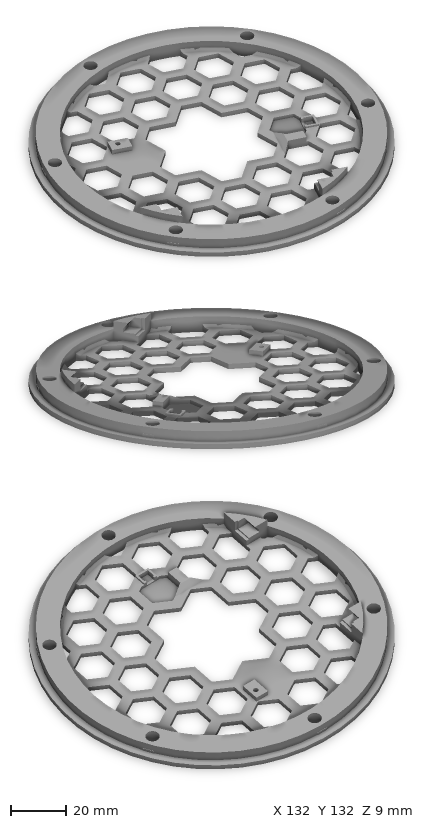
import cadquery as cq
import math

FLANGE_RADIUS = 66.0
RIM_RADIUS = 63.4
OPENING_RADIUS = 54.6
FLANGE_HEIGHT = 2.0
RIM_HEIGHT = 6.0

SCREW_COUNT = 6
SCREW_CIRCLE_RADIUS = 59.1
SCREW_DIAMETER = 5.1
SCREW_START_ANGLE = 29.5
PAD_FACE_DISTANCE = 63.5
PAD_DEPTH = 1.3
PAD_WIDTH = 4.4
PAD_HEIGHT = 1.2

WEB_HEIGHT = 2.0
WEB_CHAMFER = 1.0
CELL_PITCH = 17.0
CELL_WALL = 4.0
CELL_FLATS = CELL_PITCH - CELL_WALL
CELL_CIRCUMRADIUS = CELL_FLATS / math.sqrt(3)
ROW_SPACING = CELL_PITCH * math.sqrt(3) / 2
GRID_REACH = 4
BLIND_ROW = 2
STAR_ARMS = 6
STAR_REACH = 1.1 * CELL_PITCH

POST_HEIGHT = 4.0

POCKET_FLOOR = 0.5
POCKET_TOP_Y = 34.6

BAR_END_Y = 32.6
RAMP_TOP_Y = 25.3
RAMP_FOOT_Y = 22.8

SOCKET_WIDTH = 6.1
SOCKET_BACK_Y = 39.7
SOCKET_TOP = 2.8
SOCKET_WELL_WIDTH = 4.5
SOCKET_WELL_FRONT_Y = 35.5
SOCKET_WELL_BACK_Y = 39.0
SOCKET_GAP_WIDTH = 3.5
SOCKET_SILL_Z = 1.0

POST_X = -6.3
POST_Y = -32.6
POST_WIDTH = 5.3
POST_LENGTH = 7.7
POST_HOLE_X = -6.7
POST_HOLE_Y = -33.3
POST_HOLE_DIAMETER = 2.0

LATCH_TOP = 9.0
LATCH_FACE_X = 38.0
LATCH_INNER_Y = 26.5
LATCH_FOOT_X = 41.6
LATCH_FOOT_Y = 24.0
LATCH_SLOT_END_Y = 32.6
LATCH_LEDGE_END_Y = 33.1
LATCH_LEDGE_X = 39.2
LATCH_LEDGE_Z = 4.5
LATCH_FLOOR_Z = 5.1
LATCH_WALL_X = 44.0
LATCH_OVERHANG_Z = 6.6
LATCH_MOUTH_X = 42.0


def box(x_min, x_max, y_min, y_max, z_min, z_max):
    """Axis-aligned block between the given limits."""
    block = cq.Workplane("XY").box(x_max - x_min, y_max - y_min, z_max - z_min, centered=False)
    return block.translate((x_min, y_min, z_min))


def cylinder(radius, height):
    return cq.Workplane("XY").circle(radius).extrude(height)


def hex_prism(centre, z_min, z_max):
    """Hexagonal prism with two flats facing +X and -X."""
    corners = []
    for k in range(6):
        angle = math.radians(30 + 60 * k)
        x = centre[0] + CELL_CIRCUMRADIUS * math.cos(angle)
        y = centre[1] + CELL_CIRCUMRADIUS * math.sin(angle)
        corners.append((x, y))
    return cq.Workplane("XY").workplane(offset=z_min).polyline(corners).close().extrude(z_max - z_min)


def cell_centre(column, row):
    """Centre of a honeycomb cell; odd rows are shifted by half a pitch."""
    return ((column + (row % 2) / 2) * CELL_PITCH, row * ROW_SPACING)


def open_cell_centres():
    """Cells cut through the web, outside the star and except the two closed ones."""
    centres = []
    for row in range(-GRID_REACH, GRID_REACH + 1):
        for column in range(-GRID_REACH, GRID_REACH + 1):
            x, y = cell_centre(column, row)
            distance = math.hypot(x, y)
            in_star = distance < STAR_REACH
            closed = abs(row) == BLIND_ROW and column == 0
            reaches_web = distance < OPENING_RADIUS + CELL_CIRCUMRADIUS
            if reaches_web and not in_star and not closed:
                centres.append((x, y))
    return centres


def star_cutter():
    """Six-armed opening that merges the central cell with its six neighbours."""
    tip_distance = CELL_PITCH + CELL_FLATS / 2
    half_side = CELL_CIRCUMRADIUS / 2
    notch_distance = CELL_CIRCUMRADIUS + CELL_PITCH / math.sqrt(3)
    tip_radius = math.hypot(tip_distance, half_side)
    tip_angle = math.degrees(math.atan2(half_side, tip_distance))
    arm_step = 360 / STAR_ARMS
    arm_corners = ((tip_radius, -tip_angle), (tip_radius, tip_angle), (notch_distance, arm_step / 2))
    points = []
    for arm in range(STAR_ARMS):
        arm_angle = arm_step * arm
        for radius, offset in arm_corners:
            angle = math.radians(arm_angle + offset)
            points.append((radius * math.cos(angle), radius * math.sin(angle)))
    return cq.Workplane("XY").polyline(points).close().extrude(WEB_HEIGHT)


def make_ring():
    ring = cylinder(FLANGE_RADIUS, FLANGE_HEIGHT).union(cylinder(RIM_RADIUS, RIM_HEIGHT))
    ring = ring.cut(cylinder(OPENING_RADIUS, RIM_HEIGHT))
    pad = box(
        PAD_FACE_DISTANCE - PAD_DEPTH, PAD_FACE_DISTANCE,
        -PAD_WIDTH / 2, PAD_WIDTH / 2,
        FLANGE_HEIGHT, FLANGE_HEIGHT + PAD_HEIGHT,
    )
    screw = cylinder(SCREW_DIAMETER / 2, RIM_HEIGHT).translate((SCREW_CIRCLE_RADIUS, 0, 0))
    for k in range(SCREW_COUNT):
        angle = SCREW_START_ANGLE + 360 / SCREW_COUNT * k
        ring = ring.union(pad.rotate((0, 0, 0), (0, 0, 1), angle))
        ring = ring.cut(screw.rotate((0, 0, 0), (0, 0, 1), angle))
    return ring


def make_web():
    """Disc with a sloped corner against the ring, before any cell is cut."""
    profile = [
        (0, 0),
        (OPENING_RADIUS, 0),
        (OPENING_RADIUS, WEB_HEIGHT + WEB_CHAMFER),
        (OPENING_RADIUS - WEB_CHAMFER, WEB_HEIGHT),
        (0, WEB_HEIGHT),
    ]
    return cq.Workplane("XZ").polyline(profile).close().revolve(360, (0, 0, 0), (0, 1, 0))


def make_stop_bar():
    """Ramped bar, wide enough for the cells on both sides to trim it."""
    profile = [
        (RAMP_FOOT_Y, 0),
        (RAMP_FOOT_Y, WEB_HEIGHT),
        (RAMP_TOP_Y, POST_HEIGHT),
        (BAR_END_Y, POST_HEIGHT),
        (BAR_END_Y, 0),
    ]
    bar = cq.Workplane("YZ").polyline(profile).close().extrude(CELL_PITCH)
    return bar.cut(hex_prism(cell_centre(0, BLIND_ROW), 0, POST_HEIGHT))


def make_pocket_cutter():
    """Hexagonal pocket with its +Y corner cut off straight."""
    hexagon = hex_prism(cell_centre(0, BLIND_ROW), POCKET_FLOOR, POST_HEIGHT)
    return hexagon.intersect(box(-CELL_PITCH, CELL_PITCH, 0, POCKET_TOP_Y, 0, POST_HEIGHT))


def make_socket():
    half_width = SOCKET_WIDTH / 2
    return box(-half_width, half_width, POCKET_TOP_Y, SOCKET_BACK_Y, 0, SOCKET_TOP)


def make_socket_well():
    """Well of the socket, joined to the pocket by a narrower gap above a low sill."""
    half_well = SOCKET_WELL_WIDTH / 2
    half_gap = SOCKET_GAP_WIDTH / 2
    well = box(-half_well, half_well, SOCKET_WELL_FRONT_Y, SOCKET_WELL_BACK_Y, POCKET_FLOOR, SOCKET_TOP)
    gap = box(-half_gap, half_gap, POCKET_TOP_Y, SOCKET_WELL_BACK_Y, SOCKET_SILL_Z, SOCKET_TOP)
    return well.union(gap)


def make_post():
    return box(
        POST_X - POST_WIDTH / 2, POST_X + POST_WIDTH / 2,
        POST_Y - POST_LENGTH / 2, POST_Y + POST_LENGTH / 2,
        0, POST_HEIGHT,
    )


def make_latch():
    """Corner block on the +Y side with a slot undercut below its mouth, and a foot level with the web."""
    block = box(LATCH_FACE_X, OPENING_RADIUS, LATCH_INNER_Y, OPENING_RADIUS, 0, LATCH_TOP)
    block = block.intersect(cylinder(OPENING_RADIUS, LATCH_TOP))
    slot_profile = [
        (LATCH_FACE_X, LATCH_FLOOR_Z),
        (LATCH_WALL_X, LATCH_FLOOR_Z),
        (LATCH_WALL_X, LATCH_OVERHANG_Z),
        (LATCH_MOUTH_X, LATCH_TOP),
        (LATCH_FACE_X, LATCH_TOP),
    ]
    slot = cq.Workplane("XZ").polyline(slot_profile).close().extrude(LATCH_INNER_Y - LATCH_SLOT_END_Y)
    slot = slot.translate((0, LATCH_INNER_Y, 0))
    ledge = box(
        LATCH_FACE_X, LATCH_LEDGE_X,
        LATCH_INNER_Y, LATCH_LEDGE_END_Y,
        LATCH_LEDGE_Z, LATCH_TOP,
    )
    foot = box(LATCH_FACE_X, LATCH_FOOT_X, LATCH_FOOT_Y, LATCH_INNER_Y, 0, WEB_HEIGHT)
    return block.cut(slot).cut(ledge).union(foot)


web = make_web().union(make_stop_bar())
for centre in open_cell_centres():
    web = web.cut(hex_prism(centre, 0, POST_HEIGHT))
web = web.cut(star_cutter())
web = web.union(make_socket()).cut(make_pocket_cutter()).cut(make_socket_well())

post_hole = cylinder(POST_HOLE_DIAMETER / 2, POST_HEIGHT).translate((POST_HOLE_X, POST_HOLE_Y, 0))
web = web.union(make_post()).cut(post_hole)

latch = make_latch()
result = make_ring().union(web).union(latch).union(latch.mirror("XZ"))